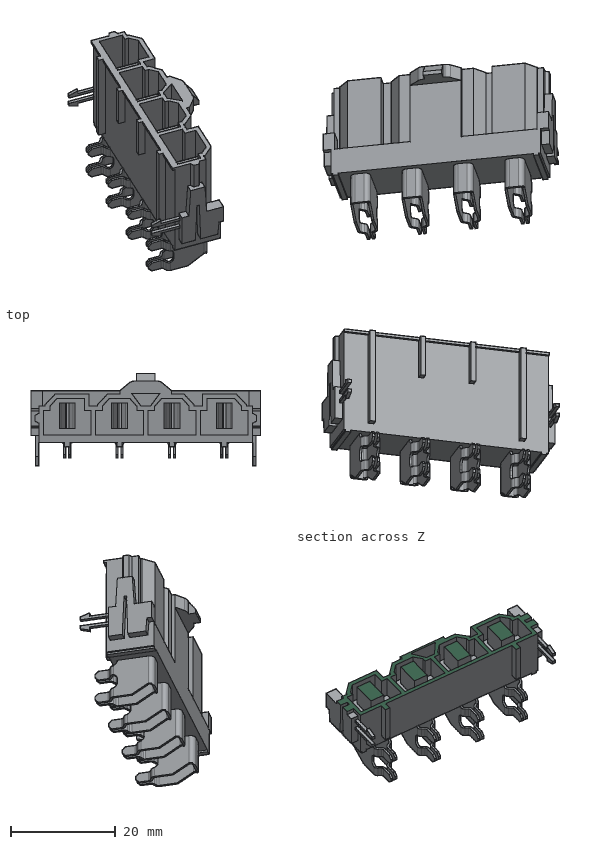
import cadquery as cq
import math


PITCH = 10.0
POLES = 4
HALF_WIDTH = 20.38
HEIGHT = 20.6
BACK_Y = 9.38
LEDGE_Z = 5.4

CELL_HALF = 4.55
CELL_FRONT_Y = 0.88
CELL_SHOULDER_Y = 5.6
CELL_BACK_Y = 7.85
CELL_NECK_HALF = 3.3
CELL_CHAMFER_X = 1.3
CELL_CHAMFER_Y = 1.45
WALL = 0.9
SHOULDER_WALL = 0.8
OUTER_CHAMFER_X = 1.95
OUTER_CHAMFER_Y = 2.05

LIP_DEPTH = 0.53
LIP_HEIGHT = 0.53
RIB_DEPTH = 1.35
OUTER_RIB_WIDTH = 1.1
OUTER_RIB_BOTTOM = 1.85
INNER_RIB_WIDTH = 0.95
INNER_RIB_BOTTOM = 12.55
FOOT_HEIGHT = 0.4
FOOT_WIDTH = 1.05
FOOT_CENTER_X = 19.5

LATCH_BOTTOM = 17.8
LATCH_HALF = 4.95
LATCH_BACK_Y = 11.2
LATCH_TOP_HALF = 2.15
LATCH_KNEE_X = 3.2
LATCH_KNEE_Y = 10.82
TAB_HALF = 1.8
TAB_BACK_Y = 12.65
TAB_SLOPE_Z = 18.62
POCKET_BACK_Y = 8.85
POCKET_BACK_HALF = 2.7
POCKET_FRONT_HALF = 0.88

WING_X = 21.9
WING_FRONT_Y = 0.8
WING_BOTTOM = 2.5
WING_SHOULDER = 9.0
WING_TOP = 15.2
CORNER_BLOCK_X = 19.68
CORNER_BLOCK_FRONT = 6.5
SLOT_TOP = 10.95
SLOT_TOP_FRONT = 3.9
SLOT_TOP_BACK = 4.4
SLOT_BASE_FRONT = 3.55
SLOT_BASE_BACK = 4.65
TOWER_TOP_FRONT = 2.6
TOWER_TOP_BACK = 5.5
TOWER_BASE_FRONT = 2.25
TOWER_BASE_BACK = 5.9
WING_HEEL_TOP_Y = 8.4
WING_HEEL_BOTTOM_Y = 8.2
SIDE_RIB_X = 21.1
SIDE_RIB_FRONT = 3.15
SIDE_RIB_BACK = 5.05
SIDE_RIB_TAPER = 0.4

LOCK_X = 21.05
LOCK_TIP_Y = -5.0
LOCK_BARB_Y = -3.15
LOCK_MID_Z = 6.95
LOCK_HALF_GAP = 0.65
LOCK_THICKNESS = 0.55
LOCK_BARB_HEIGHT = 0.7
LOCK_TIP_HEIGHT = 0.1

BLADE_HALF = 1.5
BLADE_FRONT_Y = 2.2
BLADE_BACK_Y = 6.95
BLADE_TIP_Z = 16.75
BLADE_TIP_HALF = 0.35
BLADE_KNEE_HALF = 1.15
BLADE_KNEE_DROP = 2.2
BLADE_SHOULDER_DROP = 2.8
BLADE_RIDGE_X = -0.15
BLADE_LEFT_FALL = 0.1
BLADE_RIGHT_FALL = 0.18

SHEET = 0.45
TERMINAL_HALF = 1.93
TERMINAL_BACK_Y = 8.4
TERMINAL_RADIUS = 0.85
TERMINAL_BOTTOM = -8.0
WEB_BOTTOM = -6.3
SLANT_TOP = -6.05
SLANT_BACK_Y = 7.35
SLANT_FRONT_Y = 4.08
JOG_START_Y = 0.53
JOG_RADIUS = 0.65
JOG_ANGLE = math.radians(60)
PRONG_INNER_X = 0.25
PRONG_TIP_Y = -3.5
PRONG_HEIGHT = 1.95
PRONG_CHAMFER = 0.65
UPPER_PRONG_TOP = -1.05
NOTCH_Y = 1.2
NOTCH_RADIUS = 1.0

EMBED = 0.45

pole_centers = [(i - (POLES - 1) / 2) * PITCH for i in range(POLES)]


def box(x0, x1, y0, y1, z0, z1):
    return cq.Workplane("XY").box(x1 - x0, y1 - y0, z1 - z0, centered=False).translate((x0, y0, z0))


def plan_prism(points, z0, z1):
    """Extrude an XY outline from z0 to z1."""
    return cq.Workplane("XY").workplane(offset=z0).polyline(points).close().extrude(z1 - z0)


def side_prism(points, x0, x1):
    """Extrude a YZ outline from x0 to x1."""
    return cq.Workplane("YZ").workplane(offset=x0).polyline(points).close().extrude(x1 - x0)


def both_sides(solid):
    return solid.union(solid.mirror("YZ"))


def back_outline(neck_half, shoulder_y, back_y, chamfer_x, chamfer_y, chamfer_left, chamfer_right):
    """Points of a keyed cell back, from the right shoulder round to the left one."""
    points = [(neck_half, shoulder_y)]
    for side, chamfered in ((1, chamfer_right), (-1, chamfer_left)):
        if chamfered:
            ends = [(side * neck_half, back_y - chamfer_y), (side * (neck_half - chamfer_x), back_y)]
        else:
            ends = [(side * neck_half, back_y)]
        points += ends if side > 0 else ends[::-1]
    return points + [(-neck_half, shoulder_y)]


def cell_keys(index):
    """End cells are square on the side facing the middle; the others are chamfered on both."""
    return index != POLES - 1, index != 0


def cell_wall(index):
    left, right = cell_keys(index)
    outline = back_outline(CELL_NECK_HALF + WALL, CELL_SHOULDER_Y, CELL_BACK_Y + WALL,
                           OUTER_CHAMFER_X, OUTER_CHAMFER_Y, left, right)
    return plan_prism(outline, LEDGE_Z - EMBED, HEIGHT).translate((pole_centers[index], 0, 0))


def cell_cavity(index):
    left, right = cell_keys(index)
    outline = back_outline(CELL_NECK_HALF, CELL_SHOULDER_Y, CELL_BACK_Y,
                           CELL_CHAMFER_X, CELL_CHAMFER_Y, left, right)
    outline += [(-CELL_HALF, CELL_SHOULDER_Y), (-CELL_HALF, CELL_FRONT_Y),
                (CELL_HALF, CELL_FRONT_Y), (CELL_HALF, CELL_SHOULDER_Y)]
    return plan_prism(outline, LEDGE_Z, HEIGHT).translate((pole_centers[index], 0, 0))


def latch():
    bridge = (
        cq.Workplane("XY").workplane(offset=LATCH_BOTTOM)
        .moveTo(-LATCH_HALF, BACK_Y - EMBED)
        .lineTo(-LATCH_HALF, BACK_Y)
        .lineTo(-LATCH_KNEE_X, LATCH_KNEE_Y)
        .tangentArcPoint((-LATCH_TOP_HALF, LATCH_BACK_Y), relative=False)
        .lineTo(LATCH_TOP_HALF, LATCH_BACK_Y)
        .tangentArcPoint((LATCH_KNEE_X, LATCH_KNEE_Y), relative=False)
        .lineTo(LATCH_HALF, BACK_Y)
        .lineTo(LATCH_HALF, BACK_Y - EMBED)
        .close().extrude(HEIGHT - LATCH_BOTTOM)
    )
    tab = side_prism([
        (LATCH_BACK_Y - EMBED, LATCH_BOTTOM), (TAB_BACK_Y, LATCH_BOTTOM), (TAB_BACK_Y, TAB_SLOPE_Z),
        (LATCH_BACK_Y, HEIGHT), (LATCH_BACK_Y - EMBED, HEIGHT),
    ], -TAB_HALF, TAB_HALF)
    return bridge.union(tab)


def latch_pocket():
    front_y = CELL_SHOULDER_Y + SHOULDER_WALL
    return plan_prism([
        (-POCKET_FRONT_HALF, front_y), (POCKET_FRONT_HALF, front_y),
        (POCKET_BACK_HALF, POCKET_BACK_Y), (-POCKET_BACK_HALF, POCKET_BACK_Y),
    ], LEDGE_Z, HEIGHT)


def housing():
    body = box(-HALF_WIDTH, HALF_WIDTH, 0, BACK_Y, 0, LEDGE_Z)
    body = body.union(box(-HALF_WIDTH, HALF_WIDTH, 0, CELL_SHOULDER_Y + SHOULDER_WALL, 0, HEIGHT))
    body = body.union(box(-LATCH_HALF, LATCH_HALF, CELL_SHOULDER_Y, BACK_Y, 0, HEIGHT))
    for index in range(POLES):
        body = body.union(cell_wall(index))
    body = body.union(latch()).cut(latch_pocket())
    for index in range(POLES):
        body = body.cut(cell_cavity(index))
    return body


def front_details():
    details = box(-HALF_WIDTH, HALF_WIDTH, -LIP_DEPTH, EMBED, HEIGHT - LIP_HEIGHT, HEIGHT)
    for index, x in enumerate(pole_centers):
        outermost = index in (0, POLES - 1)
        half = (OUTER_RIB_WIDTH if outermost else INNER_RIB_WIDTH) / 2
        bottom = OUTER_RIB_BOTTOM if outermost else INNER_RIB_BOTTOM
        details = details.union(box(x - half, x + half, -RIB_DEPTH, EMBED, bottom, HEIGHT))
    foot = box(FOOT_CENTER_X - FOOT_WIDTH / 2, FOOT_CENTER_X + FOOT_WIDTH / 2, 0, BACK_Y, -FOOT_HEIGHT, EMBED)
    return details.union(both_sides(foot))


def wing():
    """Right-hand wing: shouldered plate, corner block behind it, and the rib above it."""
    plate = side_prism([
        (BACK_Y, WING_SHOULDER), (TOWER_BASE_BACK, WING_SHOULDER), (TOWER_TOP_BACK, WING_TOP),
        (TOWER_TOP_FRONT, WING_TOP), (TOWER_BASE_FRONT, WING_SHOULDER),
        (WING_FRONT_Y, WING_SHOULDER), (WING_FRONT_Y, WING_BOTTOM),
        (WING_HEEL_BOTTOM_Y, WING_BOTTOM), (WING_HEEL_TOP_Y, LEDGE_Z), (BACK_Y, LEDGE_Z),
    ], HALF_WIDTH - EMBED, WING_X)
    slot = side_prism([
        (SLOT_BASE_FRONT, WING_BOTTOM), (SLOT_TOP_FRONT, SLOT_TOP),
        (SLOT_TOP_BACK, SLOT_TOP), (SLOT_BASE_BACK, WING_BOTTOM),
    ], HALF_WIDTH, WING_X)
    corner = box(CORNER_BLOCK_X, WING_X, CORNER_BLOCK_FRONT, BACK_Y, LEDGE_Z, WING_SHOULDER)
    rib = plan_prism([
        (HALF_WIDTH - EMBED, SIDE_RIB_FRONT), (HALF_WIDTH, SIDE_RIB_FRONT),
        (SIDE_RIB_X, SIDE_RIB_FRONT + SIDE_RIB_TAPER), (SIDE_RIB_X, SIDE_RIB_BACK - SIDE_RIB_TAPER),
        (HALF_WIDTH, SIDE_RIB_BACK), (HALF_WIDTH - EMBED, SIDE_RIB_BACK),
    ], WING_TOP - EMBED, HEIGHT)
    return plate.cut(slot).union(corner).union(rib)


def board_lock():
    """Two barbed prongs pointing to -Y from the right-hand wing."""
    inner = LOCK_HALF_GAP
    outer = inner + LOCK_THICKNESS
    outline = [
        (WING_FRONT_Y + EMBED, inner), (WING_FRONT_Y + EMBED, outer), (LOCK_BARB_Y, outer),
        (LOCK_BARB_Y, outer + LOCK_BARB_HEIGHT), (LOCK_TIP_Y, outer + LOCK_TIP_HEIGHT), (LOCK_TIP_Y, inner),
    ]
    upper = side_prism(outline, HALF_WIDTH, LOCK_X)
    return upper.union(upper.mirror("XY")).translate((0, 0, LOCK_MID_Z))


def blade():
    """Contact blade, an XZ outline extruded along Y."""
    knee_z = BLADE_TIP_Z - BLADE_KNEE_DROP
    shoulder_z = BLADE_TIP_Z - BLADE_SHOULDER_DROP
    bottom_z = LEDGE_Z - EMBED
    return (
        cq.Workplane("XZ", origin=(0, BLADE_BACK_Y, 0))
        .polyline([
            (-BLADE_HALF, bottom_z), (-BLADE_HALF, shoulder_z), (-BLADE_KNEE_HALF, knee_z),
            (-BLADE_TIP_HALF, BLADE_TIP_Z - BLADE_LEFT_FALL), (BLADE_RIDGE_X, BLADE_TIP_Z),
            (BLADE_TIP_HALF, BLADE_TIP_Z - BLADE_RIGHT_FALL), (BLADE_KNEE_HALF, knee_z),
            (BLADE_HALF, shoulder_z), (BLADE_HALF, bottom_z),
        ])
        .close().extrude(BLADE_BACK_Y - BLADE_FRONT_Y)
    )


def bent_sheet():
    """Right half of the U in plan: back web, rounded corner, leg, inward jog and prong."""
    leg_x = TERMINAL_HALF - SHEET / 2
    web_y = TERMINAL_BACK_Y - SHEET / 2
    prong_x = PRONG_INNER_X + SHEET / 2
    arc_dx = JOG_RADIUS * (1 - math.cos(JOG_ANGLE))
    arc_dy = JOG_RADIUS * math.sin(JOG_ANGLE)
    ramp_dx = leg_x - prong_x - 2 * arc_dx
    ramp_dy = ramp_dx / math.tan(JOG_ANGLE)
    return (
        cq.Workplane("XY").workplane(offset=TERMINAL_BOTTOM)
        .moveTo(-EMBED, web_y)
        .lineTo(leg_x - TERMINAL_RADIUS, web_y)
        .tangentArcPoint((TERMINAL_RADIUS, -TERMINAL_RADIUS))
        .lineTo(leg_x, JOG_START_Y)
        .tangentArcPoint((-arc_dx, -arc_dy))
        .line(-ramp_dx, -ramp_dy)
        .tangentArcPoint((-arc_dx, -arc_dy))
        .lineTo(prong_x, PRONG_TIP_Y - EMBED)
        .offset2D(SHEET / 2)
        .extrude(EMBED - TERMINAL_BOTTOM)
    )


def prong_outline(top_z):
    """YZ points round one prong, from its upper root to its lower root."""
    bottom_z = top_z - PRONG_HEIGHT
    return [
        (NOTCH_Y, top_z), (PRONG_TIP_Y + PRONG_CHAMFER, top_z), (PRONG_TIP_Y, top_z - PRONG_CHAMFER),
        (PRONG_TIP_Y, bottom_z + PRONG_CHAMFER), (PRONG_TIP_Y + PRONG_CHAMFER, bottom_z), (NOTCH_Y, bottom_z),
    ]


def terminal():
    lower_prong_top = TERMINAL_BOTTOM + PRONG_HEIGHT
    web_front_y = TERMINAL_BACK_Y - SHEET
    outline = [(TERMINAL_BACK_Y, EMBED), (NOTCH_Y, EMBED)]
    outline += prong_outline(UPPER_PRONG_TOP)
    outline += prong_outline(lower_prong_top)[:-1]
    outline += [
        (SLANT_FRONT_Y, TERMINAL_BOTTOM), (SLANT_BACK_Y, SLANT_TOP), (web_front_y, SLANT_TOP),
        (web_front_y, WEB_BOTTOM), (TERMINAL_BACK_Y, WEB_BOTTOM),
    ]
    profile = side_prism(outline, -TERMINAL_HALF, TERMINAL_HALF)
    root_z = (UPPER_PRONG_TOP, UPPER_PRONG_TOP - PRONG_HEIGHT, lower_prong_top)
    for z in root_z:
        root = cq.selectors.NearestToPointSelector((0, NOTCH_Y, z))
        profile = profile.edges("|X").edges(root).fillet(NOTCH_RADIUS)
    return both_sides(bent_sheet()).intersect(profile)


result = housing().union(front_details())
result = result.union(both_sides(wing().union(board_lock())))
contact = blade()
solder_terminal = terminal()
for center_x in pole_centers:
    result = result.union(contact.translate((center_x, 0, 0)))
    result = result.union(solder_terminal.translate((center_x, 0, 0)))